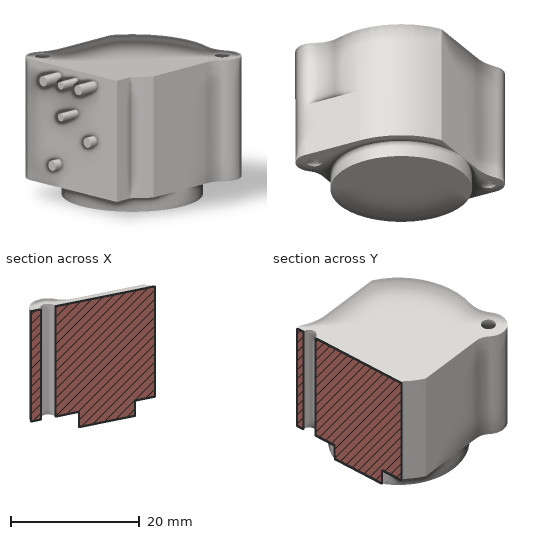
import cadquery as cq
import math

housing_height = 19.5
housing_radius = 12.87
wall_x = 11.02
front_y = -12.5
front_right_x = 8.77
step_height = 8.77

base_radius = 11.02
base_height = 2.68

hole_offset = 9.9
hole_radius = 1.18
front_lug_radius = -front_y - hole_offset
rear_lug_radius = housing_radius - hole_offset
front_blend_radius = 7.93
side_blend_radius = 3.17
rear_blend_radius = 4.9

long_pin = 3.5
short_pin = 1.5
thick_pin_radius = 0.8
thin_pin_radius = 0.6
pin_column_x = 3.8
top_pin_depth = 1.75
pins = [
    (-pin_column_x, top_pin_depth, thick_pin_radius, long_pin),
    (0, top_pin_depth, thin_pin_radius, long_pin),
    (pin_column_x, top_pin_depth, thick_pin_radius, long_pin),
    (0, 6.87, thin_pin_radius, long_pin),
    (pin_column_x, 10.62, thick_pin_radius, short_pin),
    (-pin_column_x, 15.75, thick_pin_radius, short_pin),
]


def point_toward(start, end, distance):
    """Point at the given distance from start along the line to end."""
    ratio = distance / math.dist(start, end)
    return (start[0] + ratio * (end[0] - start[0]), start[1] + ratio * (end[1] - start[1]))


def wall_blend(side, lug_radius, blend_radius):
    """Wall tangency, arc midpoint and lug tangency of a wall blend; side is -1 or 1."""
    lug = (side * hole_offset, side * hole_offset)
    center_x = wall_x + blend_radius
    rise = math.sqrt((lug_radius + blend_radius) ** 2 - (center_x - hole_offset) ** 2)
    center = (side * center_x, side * (hole_offset - rise))
    wall_point = (side * wall_x, center[1])
    lug_point = point_toward(lug, center, lug_radius)
    chord_middle = ((wall_point[0] + lug_point[0]) / 2, (wall_point[1] + lug_point[1]) / 2)
    return wall_point, point_toward(center, chord_middle, blend_radius), lug_point


def rear_blend():
    """Housing tangency, arc midpoint and lug tangency of the hollow beside the rear lug."""
    lug = (hole_offset, hole_offset)
    lug_distance = math.hypot(*lug)
    to_center = housing_radius + rear_blend_radius
    lug_to_center = rear_lug_radius + rear_blend_radius
    cosine = (lug_distance**2 + to_center**2 - lug_to_center**2) / (2 * lug_distance * to_center)
    angle = math.atan2(lug[1], lug[0]) + math.acos(cosine)
    center = (to_center * math.cos(angle), to_center * math.sin(angle))
    housing_point = point_toward((0, 0), center, housing_radius)
    lug_point = point_toward(lug, center, rear_lug_radius)
    chord_middle = ((housing_point[0] + lug_point[0]) / 2, (housing_point[1] + lug_point[1]) / 2)
    return housing_point, point_toward(center, chord_middle, rear_blend_radius), lug_point


def housing(height, hollow_rear):
    """Housing outline raised from z = 0, with a hollow or straight rear edge."""
    wall_end_y = math.sqrt(housing_radius**2 - wall_x**2)
    notch_y = -math.sqrt(housing_radius**2 - front_right_x**2)
    arc_middle = point_toward((0, 0), (-wall_x, housing_radius), housing_radius)
    corner_middle = point_toward((0, 0), (wall_x + front_right_x, notch_y - wall_end_y), housing_radius)
    left_wall, left_middle, left_lug = wall_blend(-1, front_lug_radius, front_blend_radius)
    right_wall, right_middle, right_lug = wall_blend(1, rear_lug_radius, side_blend_radius)
    front_lug_middle = point_toward((-hole_offset, -hole_offset), (-wall_x, -wall_x), front_lug_radius)
    rear_lug_middle = point_toward((hole_offset, hole_offset), (wall_x, wall_x), rear_lug_radius)

    outline = cq.Workplane("XY").moveTo(-wall_x, wall_end_y)
    if hollow_rear:
        rear_housing, hollow_middle, rear_lug = rear_blend()
        outline = outline.threePointArc(arc_middle, rear_housing).threePointArc(hollow_middle, rear_lug)
    else:
        outline = outline.threePointArc(arc_middle, (0, housing_radius)).lineTo(hole_offset, housing_radius)
    outline = (
        outline.threePointArc(rear_lug_middle, right_lug)
        .threePointArc(right_middle, right_wall)
        .lineTo(wall_x, -wall_end_y)
        .threePointArc(corner_middle, (front_right_x, notch_y))
        .lineTo(front_right_x, front_y)
        .lineTo(-hole_offset, front_y)
        .threePointArc(front_lug_middle, left_lug)
        .threePointArc(left_middle, left_wall)
        .close()
    )
    return outline.extrude(height)


result = housing(housing_height, True).union(housing(step_height, False))

lug_centers = [(-hole_offset, -hole_offset), (hole_offset, hole_offset)]
result = result.cut(cq.Workplane("XY").pushPoints(lug_centers).circle(hole_radius).extrude(housing_height))

base = cq.Workplane("XY").circle(base_radius).extrude(-base_height)
result = result.union(base)

front_plane = cq.Workplane("XZ", origin=(0, front_y, 0))
for pin_x, depth, radius, length in pins:
    pin = front_plane.center(pin_x, housing_height - depth).circle(radius).extrude(length)
    result = result.union(pin)